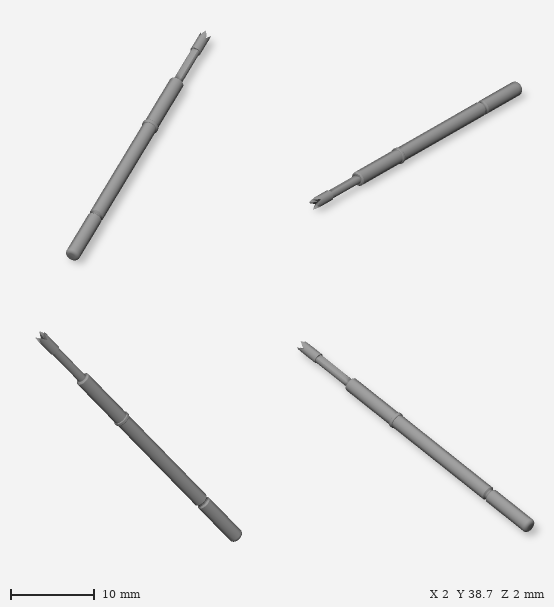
import cadquery as cq
import math

length = 38.7
tip_y = length / 2
tail_y = -length / 2

head_radius = 0.65
head_length = 3.0
shaft_radius = 0.55
shaft_flat_height = 0.43
crown_depth = 0.95

barrel_radius = 0.9
barrel_y = tip_y - 8.32
barrel_chamfer = 0.15
tail_fillet = 0.43
ring_radius = 1.0
ring_width = 0.45
ring_fillet = 0.1
ring_center_y = tip_y - 16.05
groove_center_y = tip_y - 31.8
groove_width = 0.58
groove_depth = 0.2


def rod(radius, start_y, end_y):
    """Cylinder on the Y axis from start_y up to end_y."""
    plane = cq.Plane(origin=(0, start_y, 0), xDir=(1, 0, 0), normal=(0, 1, 0))
    return cq.Workplane(plane).circle(radius).extrude(end_y - start_y)


def make_barrel():
    barrel = rod(barrel_radius, tail_y, barrel_y)
    barrel = barrel.faces(">Y").chamfer(barrel_chamfer)
    barrel = barrel.faces("<Y").fillet(tail_fillet)
    ring = rod(
        ring_radius,
        ring_center_y - ring_width / 2,
        ring_center_y + ring_width / 2,
    )
    ring = ring.faces("<Y or >Y").edges().fillet(ring_fillet)
    return barrel.union(ring).cut(make_crimp_groove())


def make_crimp_groove():
    """Ring-shaped cutter with 45 degree walls and a flat floor."""
    floor_radius = barrel_radius - groove_depth
    half_width = groove_width / 2
    half_floor = half_width - groove_depth
    profile = [
        (barrel_radius, groove_center_y - half_width),
        (floor_radius, groove_center_y - half_floor),
        (floor_radius, groove_center_y + half_floor),
        (barrel_radius, groove_center_y + half_width),
    ]
    return cq.Workplane("XY").polyline(profile).close().revolve(360, (0, 0), (0, 1))


def make_shaft():
    """Plunger shaft with a flat along its upper side."""
    shaft_end_y = tip_y - head_length
    shaft = rod(shaft_radius, barrel_y, shaft_end_y)
    flat_cutter = cq.Workplane("XY").box(
        2 * shaft_radius,
        shaft_end_y - barrel_y,
        shaft_radius,
        centered=(True, False, False),
    )
    return shaft.cut(flat_cutter.translate((0, barrel_y, shaft_flat_height)))


def make_head():
    """Head whose two crossed V grooves leave four teeth, on the X and Z axes."""
    head = rod(head_radius, tip_y - head_length, tip_y)
    half_opening = head_radius * math.sin(math.radians(45))
    cutter_scale = 2
    top_y = tip_y + (cutter_scale - 1) * crown_depth
    groove = (
        cq.Workplane("XY")
        .moveTo(0, tip_y - crown_depth)
        .lineTo(cutter_scale * half_opening, top_y)
        .lineTo(-cutter_scale * half_opening, top_y)
        .close()
        .extrude(2 * head_radius, both=True)
    )
    for angle in (45, 135):
        head = head.cut(groove.rotate((0, 0, 0), (0, 1, 0), angle))
    return head


result = make_barrel().union(make_shaft()).union(make_head())